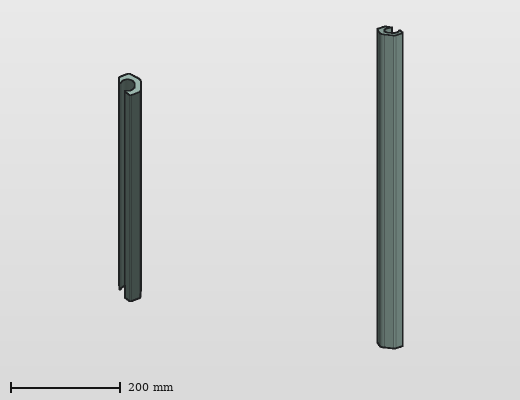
import cadquery as cq
import math

LENGTH = 609.5
WIDTH = 47.5
DEPTH = 37.0

ROOF_ANGLE = 30.0
FOOT_ANGLE = 20.0

RIDGE_RADIUS = 12.0
SHOULDER_RADIUS = 5.0
FOOT_RADIUS = 3.5

BORE_RADIUS = 13.5
LIP_RADIUS = 1.0
TIP_Y = -11.0

half_width = WIDTH / 2
roof_slope = math.tan(math.radians(ROOF_ANGLE))
foot_slope = math.tan(math.radians(FOOT_ANGLE))

ridge_loss = RIDGE_RADIUS * (1 / math.cos(math.radians(ROOF_ANGLE)) - 1)
ridge_y = TIP_Y + DEPTH + ridge_loss
shoulder_y = ridge_y - half_width * roof_slope

lip_y = TIP_Y + LIP_RADIUS
lip_x = math.sqrt((BORE_RADIUS + LIP_RADIUS) ** 2 - lip_y**2)
bore_share = BORE_RADIUS / (BORE_RADIUS + LIP_RADIUS)
bore_end_x = lip_x * bore_share
bore_end_y = lip_y * bore_share

lip_start_x = lip_x + LIP_RADIUS * math.sin(math.radians(FOOT_ANGLE))
lip_start_y = lip_y - LIP_RADIUS * math.cos(math.radians(FOOT_ANGLE))
foot_y = lip_start_y + (half_width - lip_start_x) * foot_slope

lip_inner_x = lip_x - LIP_RADIUS


def round_corners(body, x, y, radius):
    """Round the lengthwise edges at (x, y) and its mirror image."""
    reach = 0.05
    for side in {x, -x}:
        corner = cq.selectors.BoxSelector(
            (side - reach, y - reach, -LENGTH),
            (side + reach, y + reach, LENGTH),
        )
        body = body.edges(corner).fillet(radius)
    return body


rail = (
    cq.Workplane("XY")
    .workplane(offset=-LENGTH / 2)
    .moveTo(0, ridge_y)
    .lineTo(half_width, shoulder_y)
    .lineTo(half_width, foot_y)
    .lineTo(lip_start_x, lip_start_y)
    .threePointArc((lip_inner_x, lip_y), (bore_end_x, bore_end_y))
    .threePointArc((0, BORE_RADIUS), (-bore_end_x, bore_end_y))
    .threePointArc((-lip_inner_x, lip_y), (-lip_start_x, lip_start_y))
    .lineTo(-half_width, foot_y)
    .lineTo(-half_width, shoulder_y)
    .close()
    .extrude(LENGTH)
)

rail = round_corners(rail, 0.0, ridge_y, RIDGE_RADIUS)
rail = round_corners(rail, half_width, shoulder_y, SHOULDER_RADIUS)
rail = round_corners(rail, half_width, foot_y, FOOT_RADIUS)

result = rail